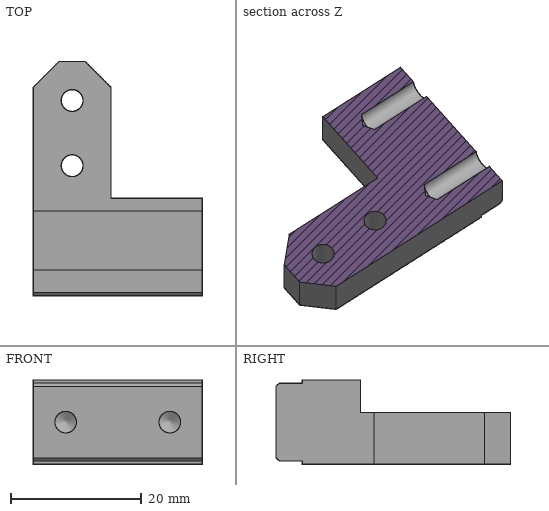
import cadquery as cq
import math

width = 26.0
length = 36
height = 13.0

block_depth = 13.0
base_depth = 15.0
base_height = 8.0

tongue_depth = 4.0
tongue_inset = 0.5
tongue_chamfer = 0.5

arm_width = 12.0
arm_corner = 4.0

hole_diameter = 3.3
arm_hole_end_distance = 6.0
arm_hole_spacing = 10.0
front_hole_left = 5.0
front_hole_spacing = 16.0
front_hole_depth = 10.0
drill_point_angle = 118


def side_profile():
    """Y-Z section, extruded across the full width."""
    tongue_top = height - tongue_inset
    points = [
        (0, tongue_inset + tongue_chamfer),
        (tongue_chamfer, tongue_inset),
        (tongue_depth, tongue_inset),
        (tongue_depth, 0),
        (length, 0),
        (length, base_height),
        (block_depth, base_height),
        (block_depth, height),
        (tongue_depth, height),
        (tongue_depth, tongue_top),
        (tongue_chamfer, tongue_top),
        (0, tongue_top - tongue_chamfer),
    ]
    return cq.Workplane("YZ").polyline(points).close().extrude(width)


def plan_profile():
    """L-shaped X-Y outline with the arm's end corners cut off."""
    points = [
        (0, 0),
        (width, 0),
        (width, base_depth),
        (arm_width, base_depth),
        (arm_width, length - arm_corner),
        (arm_width - arm_corner, length),
        (arm_corner, length),
        (0, length - arm_corner),
    ]
    return cq.Workplane("XY").polyline(points).close().extrude(height)


def arm_hole(y):
    """Through hole on the arm's centreline."""
    return (
        cq.Workplane("XY")
        .center(arm_width / 2, y)
        .circle(hole_diameter / 2)
        .extrude(height)
    )


def front_hole(x):
    """Blind drilled hole with a conical end, running back from the front face."""
    radius = hole_diameter / 2
    point_length = radius / math.tan(math.radians(drill_point_angle / 2))
    return (
        cq.Workplane("XY")
        .polyline([(0, 0), (radius, 0), (radius, front_hole_depth), (0, front_hole_depth + point_length)])
        .close()
        .revolve(360, (0, 0), (0, 1))
        .translate((x, 0, height / 2))
    )


result = side_profile().intersect(plan_profile())

for index in range(2):
    result = result.cut(arm_hole(length - arm_hole_end_distance - index * arm_hole_spacing))
    result = result.cut(front_hole(front_hole_left + index * front_hole_spacing))